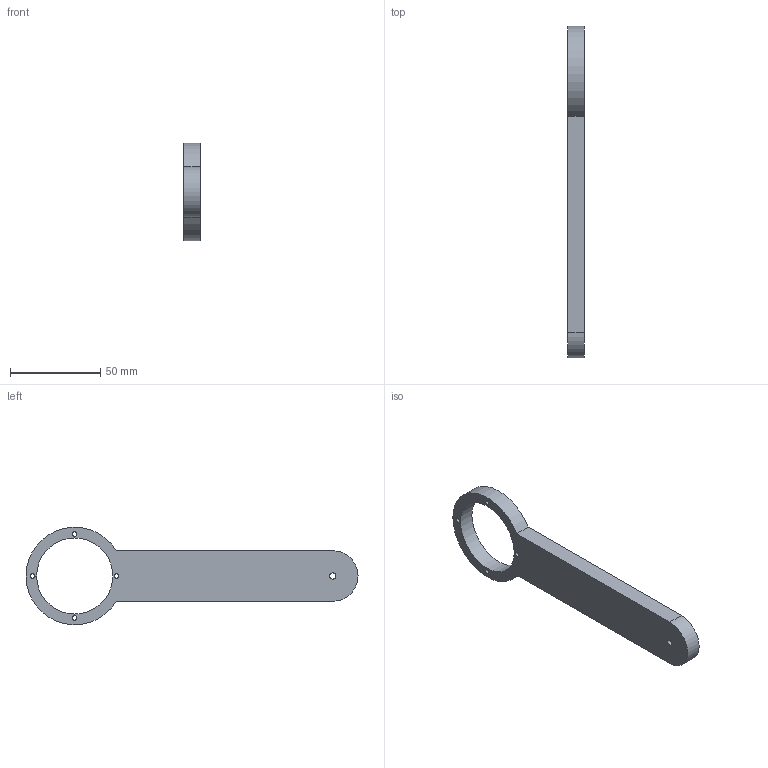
import cadquery as cq
import math

thickness = 9.0
ring_diameter = 54.0
bore_diameter = 42.2
handle_width = 28.0
handle_straight_length = 120.0
ring_hole_diameter = 2.5
ring_hole_circle_diameter = 46.5
ring_hole_count = 4
end_hole_diameter = 3.5

ring_radius = ring_diameter / 2
end_radius = handle_width / 2
junction_distance = math.sqrt(ring_radius**2 - end_radius**2)
end_centre_distance = junction_distance + handle_straight_length


def disc(diameter, y=0.0, z=0.0):
    """Disc through the full thickness, with its axis along X."""
    return cq.Workplane("YZ").center(y, z).circle(diameter / 2).extrude(thickness)


def make_handle():
    """Flat bar from the ring centre to a fully rounded end."""
    bar = (
        cq.Workplane("YZ")
        .center(-end_centre_distance / 2, 0)
        .rect(end_centre_distance, handle_width)
        .extrude(thickness)
    )
    return bar.union(disc(handle_width, y=-end_centre_distance))


def drill_ring_holes(body):
    """Equally spaced through holes around the ring wall."""
    circle_radius = ring_hole_circle_diameter / 2
    for index in range(ring_hole_count):
        angle = 2 * math.pi * index / ring_hole_count
        y = circle_radius * math.cos(angle)
        z = circle_radius * math.sin(angle)
        body = body.cut(disc(ring_hole_diameter, y, z))
    return body


body = disc(ring_diameter).union(make_handle())
body = body.cut(disc(bore_diameter))
body = drill_ring_holes(body)
result = body.cut(disc(end_hole_diameter, y=-end_centre_distance))